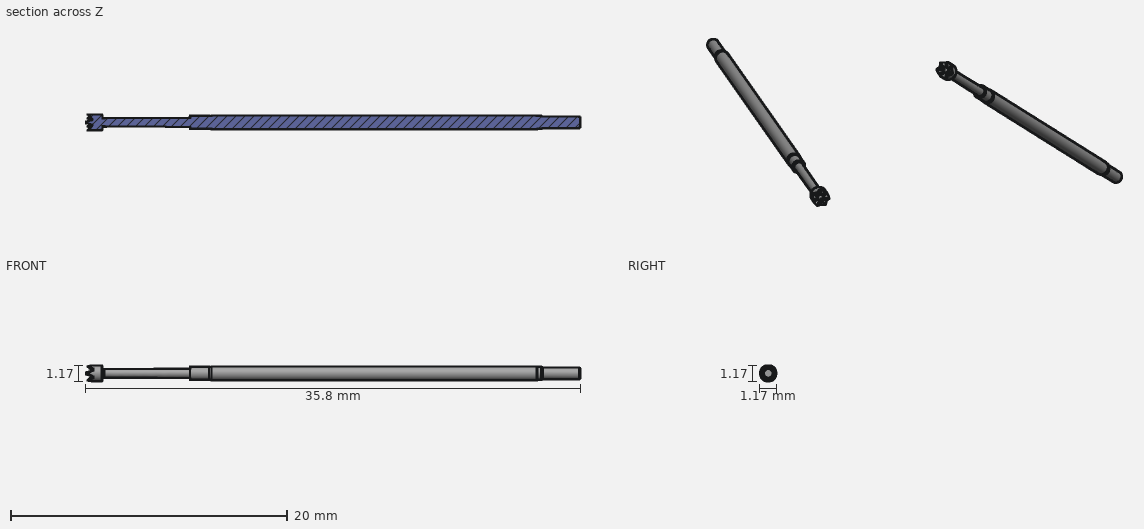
import cadquery as cq
import math

TOTAL_LENGTH = 35.81

HEAD_RADIUS = 1.17 / 2
HEAD_SHOULDER_X = 1.13
HEAD_BACK_X = 1.21
HEAD_BACK_RADIUS = 0.49
NECK_RADIUS = 0.29
NECK_END_X = 1.35
POINT_COUNT = 6
POINT_X = 0.13
VALLEY_X = 0.54
VALLEY_FLAT_WIDTH = 0.10
TIP_BASE_X = 0.65
TIP_BASE_RADIUS = 0.24
TIP_FLAT_RADIUS = 0.07

SHAFT_FRONT_RADIUS = 0.32
SHAFT_REAR_RADIUS = 0.345

COLLAR_START_X = 7.55
COLLAR_END_X = 8.90
COLLAR_RADIUS = 0.48
GROOVE_RADIUS = 0.465
BARREL_START_X = 9.10
BARREL_RADIUS = 0.51
BARREL_END_X = 32.62

LIP_STEP_LENGTH = 0.07
LIP_RADIUS = 0.48
LIP_CHAMFER_START_X = 32.96
LIP_END_X = 33.08
TAIL_RADIUS = 0.43
TAIL_CHAMFER = 0.10


def turned_body():
    """Head blank, neck, shaft, collar, barrel and tail turned about the X axis."""
    outline = (
        cq.Workplane("XZ")
        .moveTo(POINT_X, 0)
        .lineTo(POINT_X, HEAD_RADIUS)
        .lineTo(HEAD_SHOULDER_X, HEAD_RADIUS)
        .lineTo(HEAD_BACK_X, HEAD_BACK_RADIUS)
        .lineTo(HEAD_BACK_X, NECK_RADIUS)
        .lineTo(NECK_END_X, NECK_RADIUS)
        .lineTo(NECK_END_X, SHAFT_FRONT_RADIUS)
        .lineTo(COLLAR_START_X, SHAFT_REAR_RADIUS)
        .lineTo(COLLAR_START_X, COLLAR_RADIUS)
        .lineTo(COLLAR_END_X, COLLAR_RADIUS)
        .lineTo(COLLAR_END_X, GROOVE_RADIUS)
        .lineTo(BARREL_START_X, GROOVE_RADIUS)
        .lineTo(BARREL_START_X, BARREL_RADIUS)
        .lineTo(BARREL_END_X, BARREL_RADIUS)
        .lineTo(BARREL_END_X + LIP_STEP_LENGTH, LIP_RADIUS)
        .lineTo(LIP_CHAMFER_START_X, LIP_RADIUS)
        .lineTo(LIP_END_X, TAIL_RADIUS)
        .lineTo(TOTAL_LENGTH - TAIL_CHAMFER, TAIL_RADIUS)
        .lineTo(TOTAL_LENGTH, TAIL_RADIUS - TAIL_CHAMFER)
        .lineTo(TOTAL_LENGTH, 0)
        .close()
    )
    return outline.revolve(360, (0, 0, 0), (1, 0, 0))


def crown_groove(angle):
    """Flat-bottomed V groove across the head, turned about X by the given angle."""
    half_width = HEAD_RADIUS * math.sin(math.pi / POINT_COUNT)
    groove = (
        cq.Workplane("XY")
        .moveTo(VALLEY_X, -VALLEY_FLAT_WIDTH / 2)
        .lineTo(VALLEY_X, VALLEY_FLAT_WIDTH / 2)
        .lineTo(POINT_X, half_width)
        .lineTo(POINT_X, -half_width)
        .close()
        .extrude(HEAD_RADIUS, both=True)
    )
    return groove.rotate((0, 0, 0), (1, 0, 0), angle)


def centre_tip():
    """Blunt cone rising from the bottom of the crown to X = 0."""
    outline = (
        cq.Workplane("XZ")
        .moveTo(0, 0)
        .lineTo(0, TIP_FLAT_RADIUS)
        .lineTo(TIP_BASE_X, TIP_BASE_RADIUS)
        .lineTo(TIP_BASE_X, 0)
        .close()
    )
    return outline.revolve(360, (0, 0, 0), (1, 0, 0))


result = turned_body()
for index in range(POINT_COUNT // 2):
    result = result.cut(crown_groove(index * 360 / POINT_COUNT))
result = result.union(centre_tip())